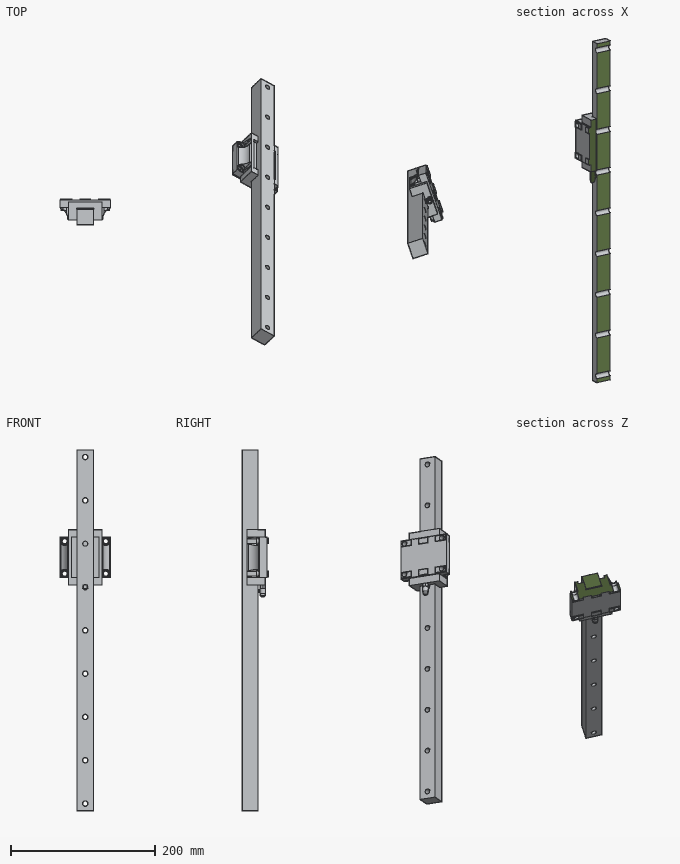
import cadquery as cq
import math

RAIL_LENGTH = 500.0
RAIL_WIDTH = 23.0
RAIL_HEIGHT = 22.0
RAIL_HOLE_DIAMETER = 7.0
RAIL_HOLE_PITCH = 60.0
RAIL_HOLE_COUNT = 9

BODY_TOP_Y = 34.5
CARRIAGE_CENTER_Z = 351.0
CARRIAGE_LENGTH = 77.0
BODY_LENGTH = 56.0
CAP_WIDTH = 46.5
CAP_TOP_Y = 32.0
CARRIAGE_BOTTOM_Y = 6.5
BODY_WIDTH = 70.0
FLANGE_BOTTOM_Y = 24.0
FLANGE_BOTTOM_CHAMFER = 1.5
SKIRT_WIDTH = 49.0
FLUTE_END_Y = 9.0
SLOT_TOP_CLEARANCE = 0.75
SLOT_RECESS_WIDTH = 37.5
SLOT_RECESS_DEPTH = 3.5

PAD_HEIGHT = 1.7
PAD_MARGIN = 1.0
PAD_LENGTH = 8.0
OUTER_PAD_INNER_X = 18.5
MIDDLE_PAD_WIDTH = 14.0

BOLT_SPACING_X = 57.0
BOLT_SPACING_Z = 45.0
BOLT_HOLE_DIAMETER = 7.0
RELIEF_DIAMETER = 12.0
BOSS_DIAMETER = 9.5
BOSS_FACE_Y = 20.0

NIPPLE_CENTER_Y = 28.5
HEX_ACROSS_CORNERS = 8.5
HEX_LENGTH = 4.5
COLLAR_DIAMETER = 8.0
COLLAR_LENGTH = 7.0
TIP_DIAMETER = 7.0
TIP_LENGTH = 4.5
TIP_CHAMFER = 1.5
SPOUT_DIAMETER = 3.5
SPOUT_END_Y = 23.0

total_height = BODY_TOP_Y + PAD_HEIGHT
cap_bottom_z = CARRIAGE_CENTER_Z - CARRIAGE_LENGTH / 2


def block(x_range, y_range, z_range):
    """Box between the given pairs of limits."""
    spans = [high - low for low, high in (x_range, y_range, z_range)]
    corner = (x_range[0], y_range[0], z_range[0])
    return cq.Workplane("XY").box(*spans, centered=False).translate(corner)


def centered_range(middle, length):
    return (middle - length / 2, middle + length / 2)


def cylinder_y(x, z, diameter, y_range):
    """Cylinder parallel to Y between two heights."""
    axis = cq.Vector(0, 1, 0)
    start = cq.Vector(x, y_range[0], z)
    return cq.Workplane(cq.Solid.makeCylinder(diameter / 2, y_range[1] - y_range[0], start, axis))


def make_rail():
    rail = block(centered_range(0, RAIL_WIDTH), (0, RAIL_HEIGHT), (0, RAIL_LENGTH))
    first_z = (RAIL_LENGTH - (RAIL_HOLE_COUNT - 1) * RAIL_HOLE_PITCH) / 2
    for index in range(RAIL_HOLE_COUNT):
        z = first_z + index * RAIL_HOLE_PITCH
        rail = rail.cut(cylinder_y(0, z, RAIL_HOLE_DIAMETER, (0, RAIL_HEIGHT)))
    return rail


def make_body_profile():
    """Body cross-section: flanges above, a concave flute below each, and a narrow skirt."""
    side = BODY_WIDTH / 2
    skirt = SKIRT_WIDTH / 2
    flute_x = side - FLANGE_BOTTOM_CHAMFER
    flute_y = FLANGE_BOTTOM_Y - FLANGE_BOTTOM_CHAMFER
    run = flute_x - skirt
    rise = flute_y - FLUTE_END_Y
    radius = (run**2 + rise**2) / (2 * run)
    half_angle = math.atan2(rise, radius - run) / 2
    middle_x = skirt + radius * (1 - math.cos(half_angle))
    middle_y = FLUTE_END_Y + radius * math.sin(half_angle)
    return (
        cq.Workplane("XY")
        .moveTo(0, BODY_TOP_Y)
        .lineTo(side, BODY_TOP_Y)
        .lineTo(side, FLANGE_BOTTOM_Y)
        .lineTo(flute_x, flute_y)
        .threePointArc((middle_x, middle_y), (skirt, FLUTE_END_Y))
        .lineTo(CAP_WIDTH / 2, CARRIAGE_BOTTOM_Y)
        .lineTo(0, CARRIAGE_BOTTOM_Y)
        .mirrorY()
    )


def add_pads(carriage):
    outer_width = BODY_WIDTH / 2 - PAD_MARGIN - OUTER_PAD_INNER_X
    outer_x = OUTER_PAD_INNER_X + outer_width / 2
    end_z = (BODY_LENGTH - PAD_LENGTH) / 2 - PAD_MARGIN
    for x, width in ((-outer_x, outer_width), (0, MIDDLE_PAD_WIDTH), (outer_x, outer_width)):
        for z in (CARRIAGE_CENTER_Z - end_z, CARRIAGE_CENTER_Z + end_z):
            pad = block(
                centered_range(x, width), (BODY_TOP_Y, total_height), centered_range(z, PAD_LENGTH)
            )
            carriage = carriage.union(pad)
    return carriage


def add_bolt_holes(carriage):
    """Round relief up to the flange underside, a boss standing in it, and a through hole."""
    for x in centered_range(0, BOLT_SPACING_X):
        for z in centered_range(CARRIAGE_CENTER_Z, BOLT_SPACING_Z):
            carriage = carriage.cut(cylinder_y(x, z, RELIEF_DIAMETER, (0, FLANGE_BOTTOM_Y)))
            carriage = carriage.union(cylinder_y(x, z, BOSS_DIAMETER, (BOSS_FACE_Y, FLANGE_BOTTOM_Y)))
            carriage = carriage.cut(cylinder_y(x, z, BOLT_HOLE_DIAMETER, (0, total_height)))
    return carriage


def make_carriage():
    whole_z = centered_range(CARRIAGE_CENTER_Z, CARRIAGE_LENGTH)
    body_z = centered_range(CARRIAGE_CENTER_Z, BODY_LENGTH)
    carriage = make_body_profile().extrude(BODY_LENGTH).translate((0, 0, body_z[0]))
    carriage = add_bolt_holes(add_pads(carriage))
    core = block(centered_range(0, CAP_WIDTH), (CARRIAGE_BOTTOM_Y, CAP_TOP_Y), whole_z)
    carriage = carriage.union(core)
    slot_top = RAIL_HEIGHT + SLOT_TOP_CLEARANCE
    slot = block(centered_range(0, RAIL_WIDTH), (0, slot_top), whole_z)
    recess_top = CARRIAGE_BOTTOM_Y + SLOT_RECESS_DEPTH
    recess = block(centered_range(0, SLOT_RECESS_WIDTH), (0, recess_top), body_z)
    return carriage.cut(slot).cut(recess)


def nipple_section_plane(z):
    return cq.Workplane("XY", origin=(0, NIPPLE_CENTER_Y, z))


def make_nipple():
    """Hexagonal base against the lower end cap, then a collar with a spout toward the rail, then the tip."""
    collar_top_z = cap_bottom_z - HEX_LENGTH
    tip_top_z = collar_top_z - COLLAR_LENGTH
    base = nipple_section_plane(cap_bottom_z).polygon(6, HEX_ACROSS_CORNERS).extrude(-HEX_LENGTH)
    collar = nipple_section_plane(collar_top_z).circle(COLLAR_DIAMETER / 2).extrude(-COLLAR_LENGTH)
    tip = nipple_section_plane(tip_top_z).circle(TIP_DIAMETER / 2).extrude(-TIP_LENGTH)
    tip = tip.faces("<Z").chamfer(TIP_CHAMFER)
    spout_z = collar_top_z - COLLAR_LENGTH / 2
    spout = cylinder_y(0, spout_z, SPOUT_DIAMETER, (SPOUT_END_Y, NIPPLE_CENTER_Y))
    return base.union(collar).union(tip).union(spout)


rail = make_rail()
carriage = make_carriage()
nipple = make_nipple()
result = cq.Compound.makeCompound([rail.val(), carriage.val(), nipple.val()])